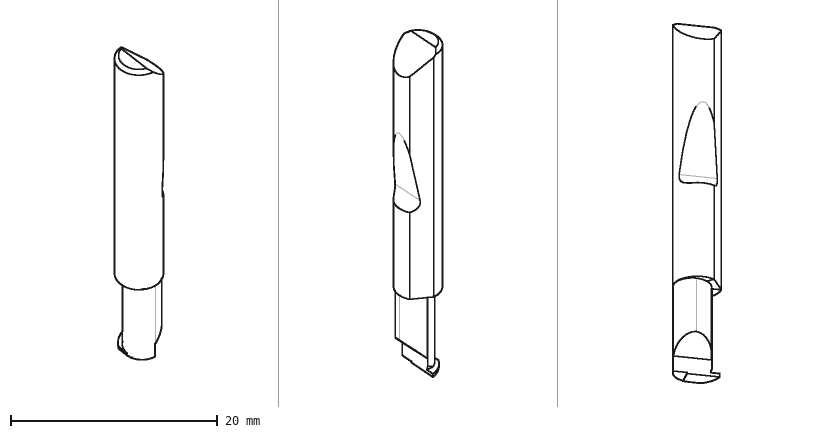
import cadquery as cq
import math

LENGTH = 38.1
SHANK_RADIUS = 2.38
CUT_SPAN = 20.0

SHANK_BOTTOM = 9.45
TOP_CHAMFER = 0.4
FLAT_HALF_ARC = 30.0
FLAT_DISTANCE = SHANK_RADIUS * math.cos(math.radians(FLAT_HALF_ARC))
FLAT_DIRECTION = 150.0
BEVEL_START_Y = -0.65
BEVEL_ANGLE = 44.0

NOTCH_BOTTOM = 19.6
NOTCH_TOP = 28.4
NOTCH_RADIUS = 1.1
NOTCH_FLOOR_Y = 1.15

NECK_RADIUS = 1.92
NECK_X = SHANK_RADIUS - NECK_RADIUS
NECK_BOTTOM = 0.12
RAKE_Y = 0.0
RAKE_TOP = 1.75

LIP_TIP_X = -2.25
LIP_TOP = 0.38
LIP_CORNER_X = -0.8
LIP_FLANK_MIDDLE = (-1.7, -1.15)
LIP_HEEL_X = 1.0
LIP_RELIEF_ANGLE = 2.5

UNDERCUT_X = -1.33
UNDERCUT_TOP = 0.82

BACK_RELIEF_RADIUS = 2.08
BACK_RELIEF_CENTRE = (0.67, NECK_RADIUS - BACK_RELIEF_RADIUS)


def x_prism(profile):
    """Extrude a closed (y, z) outline along X, across the whole part."""
    return profile.extrude(CUT_SPAN, both=True)


def make_shank():
    shank = (
        cq.Workplane("XY", origin=(0, 0, SHANK_BOTTOM))
        .circle(SHANK_RADIUS)
        .extrude(LENGTH - SHANK_BOTTOM)
        .faces(">Z")
        .chamfer(TOP_CHAMFER)
    )
    side_flat = (
        cq.Workplane("XY")
        .box(CUT_SPAN, CUT_SPAN, LENGTH, centered=(False, True, False))
        .translate((FLAT_DISTANCE, 0, 0))
        .rotate((0, 0, 0), (0, 0, 1), FLAT_DIRECTION)
        .translate((0, 0, SHANK_BOTTOM))
    )
    return shank.cut(side_flat).cut(make_end_bevel()).cut(make_notch())


def make_end_bevel():
    drop = CUT_SPAN * math.tan(math.radians(BEVEL_ANGLE))
    end_y = BEVEL_START_Y + CUT_SPAN
    outline = cq.Workplane("YZ").polyline(
        [(BEVEL_START_Y, LENGTH), (end_y, LENGTH), (end_y, LENGTH - drop)]
    )
    return x_prism(outline.close())


def make_notch():
    centre_y = NOTCH_FLOOR_Y + NOTCH_RADIUS
    centre_z = NOTCH_BOTTOM + NOTCH_RADIUS
    rise_y = SHANK_RADIUS - centre_y
    rise_z = NOTCH_TOP - centre_z
    tangent = math.atan2(rise_z, rise_y) + math.acos(NOTCH_RADIUS / math.hypot(rise_y, rise_z))
    middle = (tangent + 1.5 * math.pi) / 2

    def on_round(angle):
        return (centre_y + NOTCH_RADIUS * math.cos(angle), centre_z + NOTCH_RADIUS * math.sin(angle))

    outline = (
        cq.Workplane("YZ")
        .moveTo(SHANK_RADIUS, NOTCH_TOP)
        .lineTo(*on_round(tangent))
        .threePointArc(on_round(middle), (centre_y, NOTCH_BOTTOM))
        .lineTo(CUT_SPAN, NOTCH_BOTTOM)
        .lineTo(CUT_SPAN, NOTCH_TOP)
    )
    return x_prism(outline.close())


def make_neck():
    neck = (
        cq.Workplane("XY", origin=(NECK_X, 0, NECK_BOTTOM))
        .circle(NECK_RADIUS)
        .extrude(SHANK_BOTTOM - NECK_BOTTOM)
    )
    relief = cq.Workplane("YZ").polyline(
        [
            (RAKE_Y, -CUT_SPAN),
            (RAKE_Y, RAKE_TOP),
            (RAKE_Y + CUT_SPAN, RAKE_TOP + CUT_SPAN),
            (RAKE_Y + CUT_SPAN, -CUT_SPAN),
        ]
    )
    return neck.cut(x_prism(relief.close())).cut(make_back_relief()).cut(make_undercut())


def make_back_relief():
    """Everything behind the cutting face plane that lies outside a larger circle shifted toward +X."""
    height = SHANK_BOTTOM
    behind = cq.Workplane("XY").box(CUT_SPAN, CUT_SPAN, height, centered=(True, False, False))
    kept = cq.Workplane("XY").center(*BACK_RELIEF_CENTRE).circle(BACK_RELIEF_RADIUS).extrude(height)
    return behind.translate((0, RAKE_Y, 0)).cut(kept)


def make_undercut():
    neck_left = NECK_X - NECK_RADIUS
    outline = cq.Workplane("XZ").polyline(
        [
            (neck_left, UNDERCUT_TOP),
            (UNDERCUT_X, LIP_TOP),
            (UNDERCUT_X, 0),
            (neck_left, 0),
        ]
    )
    return outline.close().extrude(CUT_SPAN, both=True)


def make_lip():
    heel_y = -math.sqrt(NECK_RADIUS**2 - (LIP_HEEL_X - NECK_X) ** 2)
    lip = (
        cq.Workplane("XY")
        .moveTo(LIP_TIP_X, RAKE_Y)
        .threePointArc(LIP_FLANK_MIDDLE, (LIP_CORNER_X, -NECK_RADIUS))
        .lineTo(NECK_X, -NECK_RADIUS)
        .lineTo(LIP_HEEL_X, heel_y)
        .lineTo(LIP_HEEL_X, RAKE_Y)
        .close()
        .extrude(LIP_TOP)
    )
    rise = CUT_SPAN * math.tan(math.radians(LIP_RELIEF_ANGLE))
    underside = cq.Workplane("YZ").polyline(
        [(RAKE_Y, 0), (RAKE_Y - CUT_SPAN, rise), (RAKE_Y - CUT_SPAN, 0)]
    )
    return lip.cut(x_prism(underside.close()))


result = make_shank().union(make_neck()).union(make_lip())